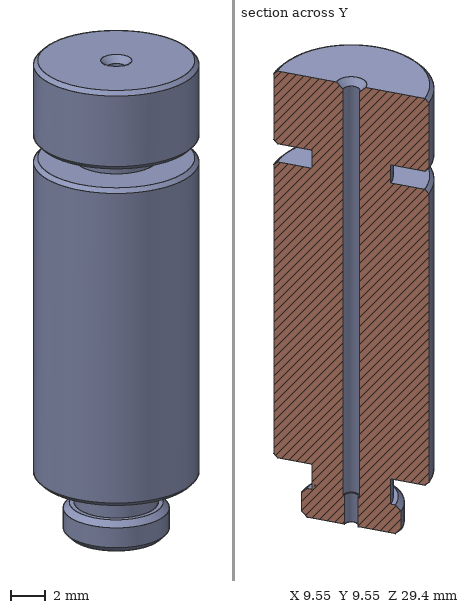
import cadquery as cq

total_height = 29.45
body_diameter = 9.55
neck_diameter = 4.85
foot_diameter = 6.12

foot_height = 1.95
lower_neck_height = 1.65
body_height = 19.78
upper_neck_height = 1.18

body_chamfer = 0.25
foot_chamfer = 0.35

exit_diameter = 0.82
bore_diameter = 1.0
countersink_diameter = 1.8
countersink_angle = 90.0

body_bottom = foot_height + lower_neck_height
body_top = body_bottom + body_height
cap_bottom = body_top + upper_neck_height
cap_height = total_height - cap_bottom


def chamfered_disc(diameter, bottom, height, chamfer):
    """Cylinder on the Z axis with both rims chamfered."""
    disc = cq.Workplane("XY").workplane(offset=bottom).circle(diameter / 2).extrude(height)
    return disc.faces("<Z or >Z").edges().chamfer(chamfer)


core = cq.Workplane("XY").circle(neck_diameter / 2).extrude(total_height)

foot = chamfered_disc(foot_diameter, 0, foot_height, foot_chamfer)
body = chamfered_disc(body_diameter, body_bottom, body_height, body_chamfer)
cap = chamfered_disc(body_diameter, cap_bottom, cap_height, body_chamfer)

solid = core.union(foot).union(body).union(cap)

bore_depth = total_height - foot_height
solid = (
    solid.faces(">Z")
    .workplane()
    .cskHole(bore_diameter, countersink_diameter, countersink_angle, depth=bore_depth)
)

exit_hole = cq.Workplane("XY").circle(exit_diameter / 2).extrude(foot_height)
result = solid.cut(exit_hole)